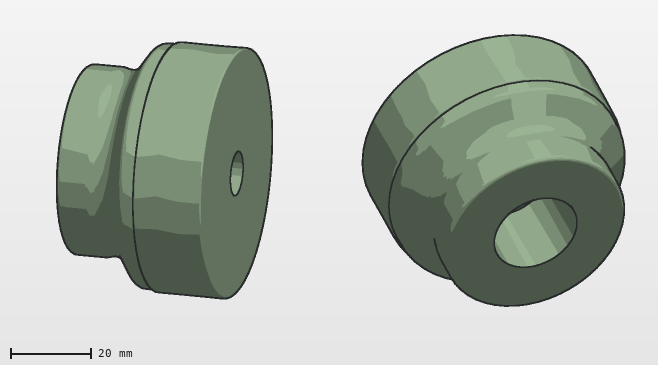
import cadquery as cq
import math

length = 40.0
hub_radius = 23.9
hub_edge_fillet = 1.0

waist_start = 7.7
waist_blend_radius = 4.95
waist_entry_angle = math.radians(18)
cone_angle = math.radians(55)
shoulder_radius = 30.8
shoulder_fillet = 2.0

rim_start = 22.2
rim_front_radius = 31.4
rim_back_radius = 31.45
rim_fillet = 0.5

bore_radius = 11.0
bore_depth = 20.75
through_hole_radius = 5.55
through_hole_chamfer = 0.95


def on_circle(center, radius, angle):
    """Point of a circle, with the angle measured from +radial towards +X."""
    return center[0] + radius * math.sin(angle), center[1] + radius * math.cos(angle)


def turned_body():
    """Solid of revolution with the S-shaped waist and the tapered rim."""
    entry_center = (waist_start, hub_radius - waist_blend_radius)
    entry_end = on_circle(entry_center, waist_blend_radius, waist_entry_angle)
    throat_center = on_circle(entry_center, 2 * waist_blend_radius, waist_entry_angle)
    throat_bottom = (throat_center[0], throat_center[1] - waist_blend_radius)
    cone_start = on_circle(throat_center, waist_blend_radius, math.pi - cone_angle)

    rounding_center_radius = shoulder_radius - shoulder_fillet
    cone_end_radius = rounding_center_radius + shoulder_fillet * math.cos(cone_angle)
    cone_end_x = cone_start[0] + (cone_end_radius - cone_start[1]) / math.tan(cone_angle)
    rounding_center = (cone_end_x + shoulder_fillet * math.sin(cone_angle), rounding_center_radius)
    rounding_middle = on_circle(rounding_center, shoulder_fillet, -cone_angle / 2)

    profile = (
        cq.Workplane("XY")
        .moveTo(0, 0)
        .lineTo(0, hub_radius)
        .lineTo(waist_start, hub_radius)
        .threePointArc(on_circle(entry_center, waist_blend_radius, waist_entry_angle / 2), entry_end)
        .threePointArc(throat_bottom, cone_start)
        .lineTo(cone_end_x, cone_end_radius)
        .threePointArc(rounding_middle, (rounding_center[0], shoulder_radius))
        .lineTo(rim_start, shoulder_radius)
        .lineTo(rim_start, rim_front_radius)
        .lineTo(length, rim_back_radius)
        .lineTo(length, 0)
        .close()
    )
    return profile.revolve(360, (0, 0, 0), (1, 0, 0))


def round_edges(body):
    """Round the hub edge and both edges of the rim."""
    second_largest_circle = cq.selectors.RadiusNthSelector(-2)
    body = body.edges(second_largest_circle).fillet(rim_fillet)
    body = body.faces("<X").edges().fillet(hub_edge_fillet)
    return body.faces(">X").edges().fillet(rim_fillet)


def stepped_hole():
    """Bore from the hub face, then a chamfered through hole."""
    bore = cq.Workplane("YZ").circle(bore_radius).extrude(bore_depth)
    through_hole = cq.Workplane("YZ").circle(through_hole_radius).extrude(length)
    chamfer_cone = cq.Solid.makeCone(
        through_hole_radius + through_hole_chamfer,
        through_hole_radius,
        through_hole_chamfer,
        pnt=cq.Vector(bore_depth, 0, 0),
        dir=cq.Vector(1, 0, 0),
    )
    return bore.union(through_hole).union(cq.Workplane(chamfer_cone))


result = round_edges(turned_body()).cut(stepped_hole())